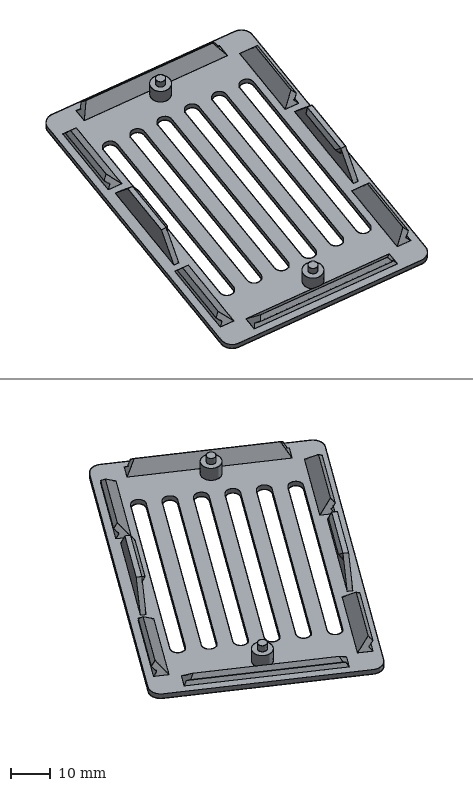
import cadquery as cq

length = 90
width = 60.0
plate_thickness = 1.5
corner_radius = 3.2
total_height = 9

slot_count = 6
slot_length = 60.0
slot_width = 4.0
slot_pitch = 8.0

hook_tip_inset = 1.8
hook_foot_inset = 2.1
hook_tip_height = 2.1
hook_tip_step = 1.1
hook_height = hook_tip_height + hook_tip_step
hook_end_taper = 2.4
long_side_hook_length = 22.0
long_side_hook_offset = 27
short_side_hook_length = 42.0

clip_base_length = 28.3
clip_top_length = 16.2
clip_thickness = 1.4
clip_inset = 3.0
ridge_depth = 1.0

peg_offset = 36.7
peg_diameter = 5.5
peg_height = 4.0
pin_diameter = 2.5
pin_height = 2.0

OVERLAP = 0.45


def make_plate():
    plate = cq.Workplane("XY").box(length, width, plate_thickness, centered=(True, True, False))
    plate = plate.edges("|Z").fillet(corner_radius)
    slots = (
        cq.Workplane("XY")
        .rarray(0.9, slot_pitch, 1, slot_count)
        .slot2D(slot_length, slot_width)
        .extrude(plate_thickness)
    )
    return plate.cut(slots)


def trapezoid(base_length, top_length, height, depth):
    """Upright trapezoid on the plate, centred on X and running from Y = 0 to Y = depth."""
    return (
        cq.Workplane("XZ")
        .moveTo(-base_length / 2, plate_thickness - OVERLAP)
        .lineTo(base_length / 2, plate_thickness - OVERLAP)
        .lineTo(base_length / 2, plate_thickness)
        .lineTo(top_length / 2, plate_thickness + height)
        .lineTo(-top_length / 2, plate_thickness + height)
        .lineTo(-base_length / 2, plate_thickness)
        .close()
        .extrude(-depth)
    )


def make_hook(hook_length):
    """Hook along X whose outer plate edge lies at Y = 0, with sloping ends."""
    foot = hook_foot_inset
    tip = hook_tip_inset
    peak = tip + hook_tip_step
    inner = peak + hook_height
    notch_height = (tip + hook_tip_height - foot) / 2
    notch = foot + notch_height
    z = plate_thickness
    bar = (
        cq.Workplane("YZ")
        .moveTo(foot, z - OVERLAP)
        .lineTo(foot, z)
        .lineTo(notch, z + notch_height)
        .lineTo(tip, z + hook_tip_height)
        .lineTo(peak, z + hook_height)
        .lineTo(inner, z)
        .lineTo(inner, z - OVERLAP)
        .close()
        .extrude(hook_length / 2, both=True)
    )
    return bar.intersect(trapezoid(hook_length, hook_length - 2 * hook_end_taper, hook_height, inner))


def make_clip():
    """Tapered clip along X with a pointed ridge at the top of its inner face."""
    clip = trapezoid(clip_base_length, clip_top_length, total_height - plate_thickness, clip_thickness)
    ridge = (
        cq.Workplane("YZ")
        .moveTo(clip_thickness, total_height)
        .lineTo(clip_thickness + ridge_depth, total_height - ridge_depth)
        .lineTo(clip_thickness, total_height - 2 * ridge_depth)
        .lineTo(0, total_height - 2 * ridge_depth)
        .lineTo(0, total_height)
        .close()
        .extrude(clip_top_length / 2, both=True)
    )
    ridge_tip_length = clip_top_length - 2 * ridge_depth
    ridge_plan = (
        cq.Workplane("XY")
        .moveTo(-clip_top_length / 2, 0)
        .lineTo(clip_top_length / 2, 0)
        .lineTo(clip_top_length / 2, clip_thickness)
        .lineTo(ridge_tip_length / 2, clip_thickness + ridge_depth)
        .lineTo(-ridge_tip_length / 2, clip_thickness + ridge_depth)
        .lineTo(-clip_top_length / 2, clip_thickness)
        .close()
        .extrude(total_height)
    )
    return clip.union(ridge.intersect(ridge_plan)).translate((0, clip_inset, 0))


def make_peg():
    peg = cq.Workplane("XY").circle(peg_diameter / 2).extrude(plate_thickness + peg_height)
    pin = cq.Workplane("XY").circle(pin_diameter / 2).extrude(plate_thickness + peg_height + pin_height)
    return peg.union(pin)


long_hook = make_hook(long_side_hook_length)
long_side = (
    make_clip()
    .union(long_hook.translate((-long_side_hook_offset, 0, 0)))
    .union(long_hook.translate((long_side_hook_offset, 0, 0)))
    .translate((0, -width / 2, 0))
)
short_side = (
    make_hook(short_side_hook_length)
    .translate((0, -length / 2, 0))
    .rotate((0, 0, 0), (0, 0, 1), -90)
    .union(make_peg().translate((-peg_offset, 0, 0)))
)

result = make_plate()
for angle in (0, 180):
    for side in (long_side, short_side):
        result = result.union(side.rotate((0, 0, 0), (0, 0, 1), angle))